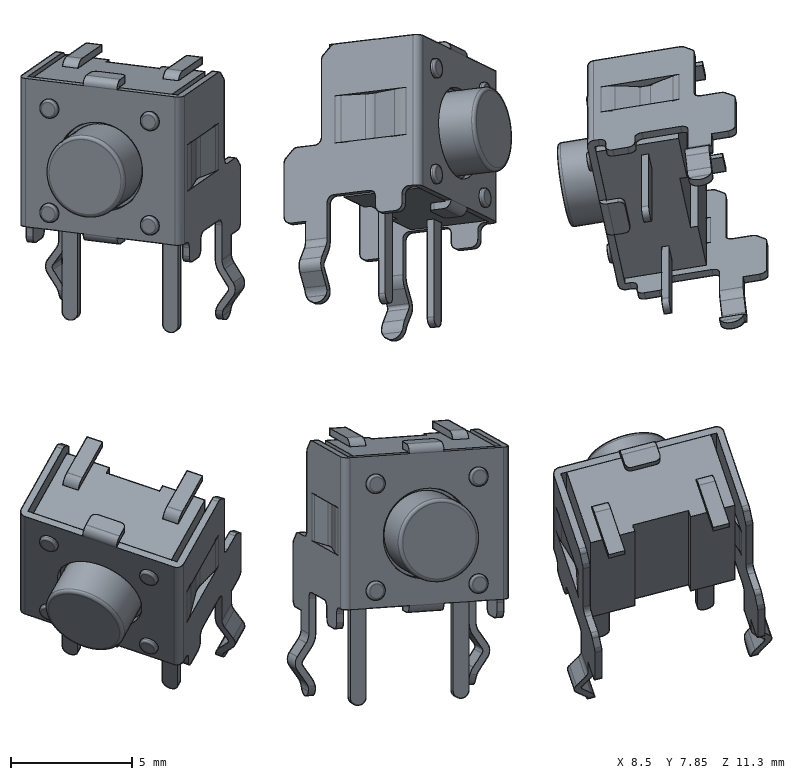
import cadquery as cq
import math


SHEET = 0.3
HALF_WIDTH = 3.66
INNER_HALF_WIDTH = HALF_WIDTH - SHEET
BRACKET_TOP = 3.41
BRACKET_BOTTOM = -2.99
BUTTON_HOLE_RADIUS = 1.9

UPPER_BACK = 4.53
LOWER_BACK = 6.25
SHOULDER_Z = -0.79
FOOT_BOTTOM = -3.98
FOOT_FRONT = 0.81
FOOT_BACK = 2.04
BACK_CHAMFER = 0.5
PROFILE_FILLET = 0.3

LEG_FRONT = 4.26
LEG_WIDTH = 1.0
LEG_BACK = LEG_FRONT + LEG_WIDTH
LEG_BOTTOM = -7.49
LEG_REACH = 4.25
LEG_PEAK_Z = -6.01
LEG_ANGLE = math.radians(35)
LEG_BEND_RADIUS = 0.65
LEG_PEAK_RADIUS = 0.5

STRIP_TOP = 1.2
STRIP_BOTTOM = -0.8
STRIP_FRONT = 0.91
STRIP_PEAK = 2.42
STRIP_BACK = 3.77
STRIP_DEPTH = 0.33
STRIP_OVERHANG = 0.5
STRIP_FRONT_RADIUS = 2.65
STRIP_PEAK_RADIUS = 0.98
STRIP_BACK_RADIUS = 1.1

TAB_WIDTH = 1.52
TAB_BACK = 1.04
TAB_RISE = 0.35
TAB_CORNER = 0.25

HOUSING_HALF_WIDTH = 3.1
HOUSING_BACK = 3.77
HOUSING_TOP = BRACKET_TOP
HOUSING_BOTTOM = BRACKET_BOTTOM
NOTCH_WIDTH = 2.4
NOTCH_DEPTH = 0.3

BUTTON_RADIUS = 1.75
BUTTON_REACH = 1.6
BUTTON_FILLET = 0.15

PITCH = 4.5
RIVET_RADIUS = 0.4
RIVET_REACH = 0.19
RIVET_FILLET = 0.1

LEAD_WIDTH = 0.7
LEAD_THICKNESS = 0.3
LEAD_FRONT = 2.12
LEAD_BACK = 4.68
LEAD_TOP = 3.71
LEAD_BOTTOM = LEG_BOTTOM
LEAD_BEND = 0.5


def box(x_range, y_range, z_range):
    lengths = [high - low for low, high in (x_range, y_range, z_range)]
    corner = (x_range[0], y_range[0], z_range[0])
    return cq.Workplane("XY").box(*lengths, centered=False).translate(corner)


def cylinder_along_y(radius, y_start, y_end, x=0, z=0):
    return cq.Workplane("XZ", origin=(x, y_end, z)).circle(radius).extrude(y_end - y_start)


def fillet_at(solid, direction, point, radius):
    """Round the edge that runs along one axis and lies nearest to a point."""
    nearest = cq.selectors.NearestToPointSelector(point)
    return solid.edges("|" + direction).edges(nearest).fillet(radius)


def with_mirror_copy(solid):
    """A +X feature together with its twin on the -X side."""
    return solid.union(solid.mirror("YZ"))


def bent_strip(workplane, path, thickness, bend_radii, width):
    """Strip of sheet along an open path, thickened to the path's left (right if negative).

    The bend radii belong to the path itself; the offset face gets concentric bends.
    """
    headings = [math.atan2(b[1] - a[1], b[0] - a[0]) for a, b in zip(path, path[1:])]
    before = headings[:1] + headings
    after = headings + headings[-1:]
    offset_path = []
    for (u, v), heading_in, heading_out in zip(path, before, after):
        bisector = (heading_in + heading_out) / 2
        mitre = thickness / math.cos((heading_out - heading_in) / 2)
        offset_path.append((u - mitre * math.sin(bisector), v + mitre * math.cos(bisector)))
    strip = workplane.polyline(path + offset_path[::-1]).close().extrude(width)

    for i, radius in enumerate(bend_radii, start=1):
        turn = math.copysign(1, after[i] - before[i])
        for (u, v), bend_radius in ((path[i], radius), (offset_path[i], radius - turn * thickness)):
            corner = workplane.plane.toWorldCoords((u, v, width / 2))
            nearest = cq.selectors.NearestToPointSelector(corner.toTuple())
            strip = strip.edges(cq.selectors.ParallelDirSelector(workplane.plane.zDir)).edges(nearest)
            strip = strip.fillet(bend_radius)
    return strip


def rivet_places():
    return [(x, z) for x in (-PITCH / 2, PITCH / 2) for z in (-PITCH / 2, PITCH / 2)]


def side_outline():
    """Side plate seen along X, extruded over the whole width."""
    plate = (
        cq.Workplane("YZ", origin=(-HALF_WIDTH, 0, 0))
        .moveTo(0, BRACKET_TOP)
        .lineTo(UPPER_BACK - BACK_CHAMFER, BRACKET_TOP)
        .lineTo(UPPER_BACK, BRACKET_TOP - BACK_CHAMFER)
        .lineTo(UPPER_BACK, SHOULDER_Z)
        .lineTo(LOWER_BACK - BACK_CHAMFER, SHOULDER_Z)
        .lineTo(LOWER_BACK, SHOULDER_Z - BACK_CHAMFER)
        .lineTo(LOWER_BACK, FOOT_BOTTOM)
        .lineTo(LEG_FRONT, FOOT_BOTTOM)
        .lineTo(LEG_FRONT, BRACKET_BOTTOM)
        .lineTo(FOOT_BACK, BRACKET_BOTTOM)
        .lineTo(FOOT_BACK, FOOT_BOTTOM)
        .lineTo(FOOT_FRONT, FOOT_BOTTOM)
        .lineTo(FOOT_FRONT, BRACKET_BOTTOM)
        .lineTo(0, BRACKET_BOTTOM)
        .close()
        .extrude(2 * HALF_WIDTH)
    )
    rounded_corners = [
        (UPPER_BACK - BACK_CHAMFER, BRACKET_TOP),
        (UPPER_BACK, BRACKET_TOP - BACK_CHAMFER),
        (UPPER_BACK, SHOULDER_Z),
        (LOWER_BACK - BACK_CHAMFER, SHOULDER_Z),
        (LOWER_BACK, SHOULDER_Z - BACK_CHAMFER),
        (LOWER_BACK, FOOT_BOTTOM),
        (LEG_FRONT, BRACKET_BOTTOM),
        (FOOT_BACK, BRACKET_BOTTOM),
        (FOOT_BACK, FOOT_BOTTOM),
        (FOOT_FRONT, FOOT_BOTTOM),
        (FOOT_FRONT, BRACKET_BOTTOM),
    ]
    for y, z in rounded_corners:
        plate = fillet_at(plate, "X", (0, y, z), PROFILE_FILLET)
    return plate


def folded_sheet():
    """Front plate with a side plate folded back at each end."""
    heights = (FOOT_BOTTOM, BRACKET_TOP)
    channel = box((-HALF_WIDTH, HALF_WIDTH), (0, LOWER_BACK), heights)
    channel = channel.edges("|Z and <Y").fillet(SHEET)
    channel = channel.cut(box((-INNER_HALF_WIDTH, INNER_HALF_WIDTH), (SHEET, LOWER_BACK), heights))
    below_front = box((-INNER_HALF_WIDTH, INNER_HALF_WIDTH), (0, SHEET), (FOOT_BOTTOM, BRACKET_BOTTOM))
    return channel.cut(below_front).intersect(side_outline())


def leg():
    """Zigzag snap-in leg on the +X side, with a round end."""
    peak_x = LEG_REACH + LEG_PEAK_RADIUS * (1 / math.cos(LEG_ANGLE) - 1)
    half_height = (peak_x - HALF_WIDTH) / math.tan(LEG_ANGLE)
    outer = [
        (HALF_WIDTH, FOOT_BOTTOM),
        (HALF_WIDTH, LEG_PEAK_Z + half_height),
        (peak_x, LEG_PEAK_Z),
        (HALF_WIDTH, LEG_PEAK_Z - half_height),
        (HALF_WIDTH, LEG_BOTTOM),
    ]
    radii = [LEG_BEND_RADIUS, LEG_PEAK_RADIUS, LEG_BEND_RADIUS]
    zigzag = bent_strip(cq.Workplane("XZ", origin=(0, LEG_BACK, 0)), outer, -SHEET, radii, LEG_WIDTH)

    y_middle = (LEG_FRONT + LEG_BACK) / 2
    end_radius = LEG_WIDTH / 2
    outline = (
        cq.Workplane("YZ")
        .moveTo(LEG_FRONT, FOOT_BOTTOM)
        .lineTo(LEG_FRONT, LEG_BOTTOM + end_radius)
        .threePointArc((y_middle, LEG_BOTTOM), (LEG_BACK, LEG_BOTTOM + end_radius))
        .lineTo(LEG_BACK, FOOT_BOTTOM)
        .close()
        .extrude(peak_x)
    )
    return zigzag.intersect(outline)


def spring_window():
    """Opening in the +X side plate that the spring strip fills."""
    depths = (STRIP_FRONT - STRIP_OVERHANG, STRIP_BACK + STRIP_OVERHANG)
    return box((INNER_HALF_WIDTH, HALF_WIDTH), depths, (STRIP_BOTTOM, STRIP_TOP))


def spring_strip():
    """Strip of the +X side plate, bent inward to a rounded peak."""
    outer = [
        (HALF_WIDTH, STRIP_FRONT - STRIP_OVERHANG),
        (HALF_WIDTH, STRIP_FRONT),
        (HALF_WIDTH - STRIP_DEPTH, STRIP_PEAK),
        (HALF_WIDTH, STRIP_BACK),
        (HALF_WIDTH, STRIP_BACK + STRIP_OVERHANG),
    ]
    radii = [STRIP_FRONT_RADIUS, STRIP_PEAK_RADIUS, STRIP_BACK_RADIUS]
    workplane = cq.Workplane("XY", origin=(0, 0, STRIP_BOTTOM))
    return bent_strip(workplane, outer, SHEET, radii, STRIP_TOP - STRIP_BOTTOM)


def tab(edge_z, outward):
    """Tab folded back over the top (outward = 1) or bottom (outward = -1) of the housing."""
    x_range = (-TAB_WIDTH / 2, TAB_WIDTH / 2)
    z_outer = edge_z + outward * TAB_RISE
    z_inner = z_outer - outward * SHEET
    z_root = edge_z - outward * SHEET
    root = box(x_range, (0, SHEET), sorted((z_root, z_outer)))
    flap = box(x_range, (0, TAB_BACK), sorted((z_inner, z_outer)))
    folded = fillet_at(root.union(flap), "X", (0, 0, z_outer), TAB_RISE)
    return folded.edges("|Z and >Y").fillet(TAB_CORNER)


def make_bracket():
    bracket = folded_sheet().union(with_mirror_copy(leg()))
    bracket = bracket.cut(with_mirror_copy(spring_window())).union(with_mirror_copy(spring_strip()))
    bracket = bracket.union(tab(BRACKET_TOP, 1)).union(tab(BRACKET_BOTTOM, -1))
    bracket = bracket.cut(cylinder_along_y(BUTTON_HOLE_RADIUS, 0, SHEET))
    for x, z in rivet_places():
        bracket = bracket.cut(cylinder_along_y(RIVET_RADIUS, 0, SHEET, x, z))
    return bracket


def housing_block():
    block = box(
        (-HOUSING_HALF_WIDTH, HOUSING_HALF_WIDTH), (SHEET, HOUSING_BACK), (HOUSING_BOTTOM, HOUSING_TOP)
    )
    notch = box(
        (-NOTCH_WIDTH / 2, NOTCH_WIDTH / 2),
        (HOUSING_BACK - NOTCH_DEPTH, HOUSING_BACK),
        (HOUSING_BOTTOM, HOUSING_TOP),
    )
    return block.cut(notch).cut(with_mirror_copy(spring_strip()))


def button():
    return cylinder_along_y(BUTTON_RADIUS, -BUTTON_REACH, SHEET).faces("<Y").edges().fillet(BUTTON_FILLET)


def rivet(x, z):
    """Stake that goes through the front plate and ends in a rounded head."""
    stake = cylinder_along_y(RIVET_RADIUS, -RIVET_REACH, SHEET, x, z)
    return stake.faces("<Y").edges().fillet(RIVET_FILLET)


def lead(x):
    """Flat lead that runs down through the housing and bends back above it."""
    x_range = (x - LEAD_WIDTH / 2, x + LEAD_WIDTH / 2)
    upright = box(x_range, (LEAD_FRONT, LEAD_FRONT + LEAD_THICKNESS), (LEAD_BOTTOM, LEAD_TOP))
    round_end = LEAD_WIDTH / 2
    end_z = LEAD_BOTTOM + round_end
    upright = upright.cut(box(x_range, (LEAD_FRONT, LEAD_BACK), (LEAD_BOTTOM, end_z)))
    upright = upright.union(cylinder_along_y(round_end, LEAD_FRONT, LEAD_FRONT + LEAD_THICKNESS, x, end_z))
    top = box(x_range, (LEAD_FRONT, LEAD_BACK), (LEAD_TOP - LEAD_THICKNESS, LEAD_TOP))
    return fillet_at(upright.union(top), "X", (x, LEAD_FRONT, LEAD_TOP), LEAD_BEND)


def make_switch():
    switch = housing_block().union(button())
    for x in (-PITCH / 2, PITCH / 2):
        switch = switch.union(lead(x))
    for x, z in rivet_places():
        switch = switch.union(rivet(x, z))
    return switch


bracket = make_bracket()
switch = make_switch()

result = cq.Compound.makeCompound([bracket.val(), switch.val()])